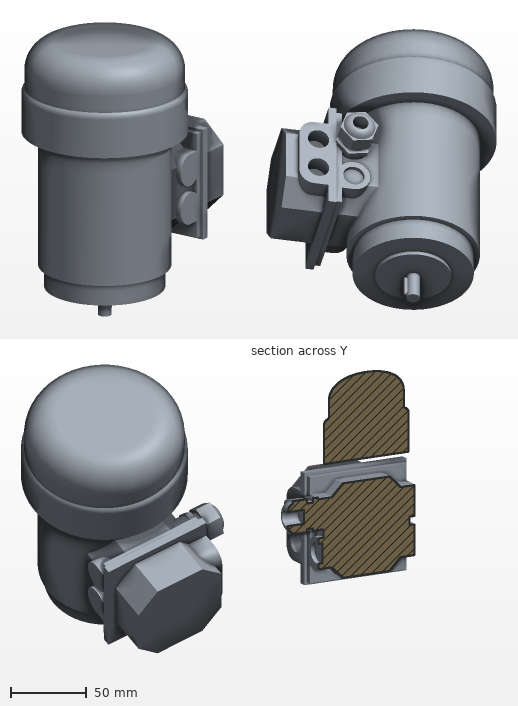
import cadquery as cq
import math

motor_radius = 44.0
end_bell_radius = 40.0
end_bell_height = 15.0
collar_radius = 55.0
collar_bottom = 108.0
collar_wall_top = 135.0
collar_round = 5.0
cap_radius = 53.0
cap_round = 20.0
cap_top = 171.0
spigot_radius = 25.0
spigot_height = 2.5
shaft_radius = 4.5
shaft_length = 20.0

key_width = 3.0
key_length = 14.0
key_end_gap = 2.0
key_top = 6.1

box_center_z = 60.75
box_width = 65.0
box_chamfer = 15.0
box_outer_y = 92.0
lid_width = 76.6
lid_inner_y = 59.2
lid_outer_y = 64.5
base_width = 72.5
base_inner_y = 55.1
inlet_pad_height = 50.0
inlet_pad_round = 10.0
inlet_pad_outer_y = 84.0

entry_boss_radius = 11.0
entry_y = 47.1
entry_spacing = 26.8
inlet_y = 71.3
inlet_spacing = 22.9
entry_hole_radius = 7.1
entry_hole_depth = 3.0
inlet_hole_depth = 12.0

gland_hex_radius = 13.0
gland_hex_angle = 49.0
gland_flange_thickness = 4.0
gland_neck_length = 4.0
gland_neck_radius = 9.3
gland_nut_length = 10.9
gland_dome_length = 3.9
gland_dome_radius = 10.6
gland_bore_radius = 5.2
gland_bore_depth = 12.0


def cylinder_x(radius, y, z, start_x, length):
    """Cylinder along +X from start_x."""
    return cq.Workplane("YZ", origin=(start_x, y, z)).circle(radius).extrude(length)


def box_slab(width, inner_y, outer_y):
    """Square slab centred on the terminal box, between two Y positions."""
    return cq.Workplane("XY").box(width, outer_y - inner_y, width).translate(
        (0, (inner_y + outer_y) / 2, box_center_z)
    )


def make_motor():
    """Shaft, spigot, end bell, housing, collar and cap as one turned body."""
    arc_center_r = collar_radius - collar_round
    shoulder_angle = math.acos((cap_radius - arc_center_r) / collar_round)
    shoulder_top = collar_wall_top + collar_round * math.sin(shoulder_angle)
    shoulder_mid = (
        arc_center_r + collar_round * math.cos(shoulder_angle / 2),
        collar_wall_top + collar_round * math.sin(shoulder_angle / 2),
    )
    cap_flat_radius = cap_radius - cap_round
    cap_wall_top = cap_top - cap_round
    dome_mid = (
        cap_flat_radius + cap_round * math.sqrt(0.5),
        cap_wall_top + cap_round * math.sqrt(0.5),
    )
    profile = (
        cq.Workplane("XZ")
        .moveTo(0, -shaft_length)
        .lineTo(shaft_radius, -shaft_length)
        .lineTo(shaft_radius, -spigot_height)
        .lineTo(spigot_radius, -spigot_height)
        .lineTo(spigot_radius, 0)
        .lineTo(end_bell_radius, 0)
        .lineTo(end_bell_radius, end_bell_height)
        .lineTo(motor_radius, end_bell_height)
        .lineTo(motor_radius, collar_bottom)
        .lineTo(collar_radius, collar_bottom)
        .lineTo(collar_radius, collar_wall_top)
        .threePointArc(shoulder_mid, (cap_radius, shoulder_top))
        .lineTo(cap_radius, cap_wall_top)
        .threePointArc(dome_mid, (cap_flat_radius, cap_top))
        .lineTo(0, cap_top)
        .close()
    )
    return profile.revolve(360, (0, 0, 0), (0, 1, 0))


def make_key():
    """Round-ended key standing out of the shaft."""
    key_center_z = -shaft_length + key_end_gap + key_length / 2
    return (
        cq.Workplane("XZ", origin=(0, 0, key_center_z))
        .slot2D(key_length, key_width, 90)
        .extrude(-key_top)
    )


def make_inlet_pad():
    """Pad flush with the lid edge, rounded at its two outer corners."""
    length_x = lid_width / 2
    depth_y = inlet_pad_outer_y - lid_inner_y
    pad = cq.Workplane("XY").box(length_x, depth_y, inlet_pad_height)
    pad = pad.edges("|X and >Y").fillet(inlet_pad_round)
    return pad.translate((-length_x / 2, lid_inner_y + depth_y / 2, box_center_z))


def entry_z(side):
    """Height of the upper (side = 1) or lower (side = -1) cable entry."""
    return box_center_z + side * entry_spacing / 2


def make_entry_boss(side):
    """Round boss through the full base width, joined to the base by a web on its outer half."""
    depth_y = lid_inner_y - entry_y
    web = cq.Workplane("XY").box(base_width, depth_y, entry_boss_radius)
    web_z = entry_z(side) + side * entry_boss_radius / 2
    web = web.translate((0, entry_y + depth_y / 2, web_z))
    return web.union(cylinder_x(entry_boss_radius, entry_y, entry_z(side), -base_width / 2, base_width))


def make_terminal_box():
    body = box_slab(box_width, 0, box_outer_y).edges("|Y").chamfer(box_chamfer)
    body = body.union(box_slab(lid_width, lid_inner_y, lid_outer_y))
    body = body.union(box_slab(base_width, base_inner_y, lid_inner_y))
    body = body.union(make_inlet_pad())
    for side in (-1, 1):
        body = body.union(make_entry_boss(side))
        inlet_z = box_center_z + side * inlet_spacing / 2
        body = body.cut(
            cylinder_x(entry_hole_radius, inlet_y, inlet_z, -lid_width / 2, inlet_hole_depth)
        )
    return body.cut(
        cylinder_x(entry_hole_radius, entry_y, entry_z(-1), -base_width / 2, entry_hole_depth)
    )


def gland_hex(start_x, length):
    """Hexagonal prism along +X, turned about the gland axis."""
    corners = []
    for i in range(6):
        angle = math.radians(gland_hex_angle + 60 * i)
        corners.append((gland_hex_radius * math.cos(angle), gland_hex_radius * math.sin(angle)))
    plane = cq.Workplane("YZ", origin=(start_x, entry_y, entry_z(1)))
    return plane.polyline(corners).close().extrude(length)


def make_gland():
    gland_z = entry_z(1)
    flange_x = -base_width / 2 - gland_flange_thickness
    neck_x = flange_x - gland_neck_length
    nut_x = neck_x - gland_nut_length
    tip_x = nut_x - gland_dome_length

    gland = gland_hex(flange_x, gland_flange_thickness)
    gland = gland.union(cylinder_x(gland_neck_radius, entry_y, gland_z, neck_x, gland_neck_length))
    gland = gland.union(gland_hex(nut_x, gland_nut_length))
    dome = (
        cq.Workplane("XY", origin=(0, entry_y, gland_z))
        .moveTo(nut_x, 0)
        .lineTo(tip_x, 0)
        .lineTo(tip_x, gland_bore_radius)
        .tangentArcPoint((nut_x, gland_dome_radius), relative=False)
        .close()
        .revolve(360, (0, 0, 0), (1, 0, 0))
    )
    gland = gland.union(dome)
    return gland.cut(cylinder_x(gland_bore_radius, entry_y, gland_z, tip_x, gland_bore_depth))


result = make_terminal_box().union(make_motor()).union(make_key()).union(make_gland())